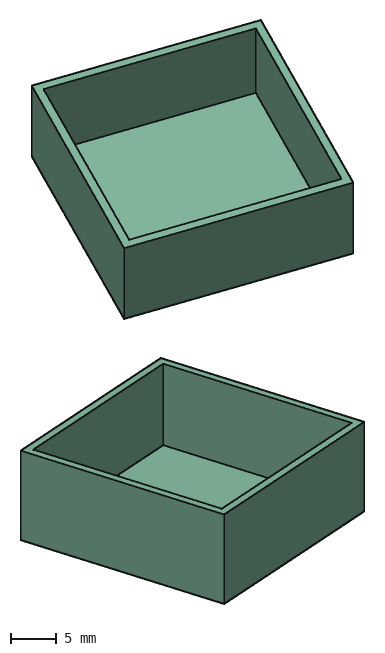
import cadquery as cq

side = 27.0
height = 11.0
wall = 1.0
cavity_side = side - 2 * wall
cavity_depth = height - wall

tray = cq.Workplane("XY").rect(side, side).extrude(height)
cavity = (
    cq.Workplane("XY")
    .workplane(offset=wall)
    .rect(cavity_side, cavity_side)
    .extrude(cavity_depth)
)

result = tray.cut(cavity)